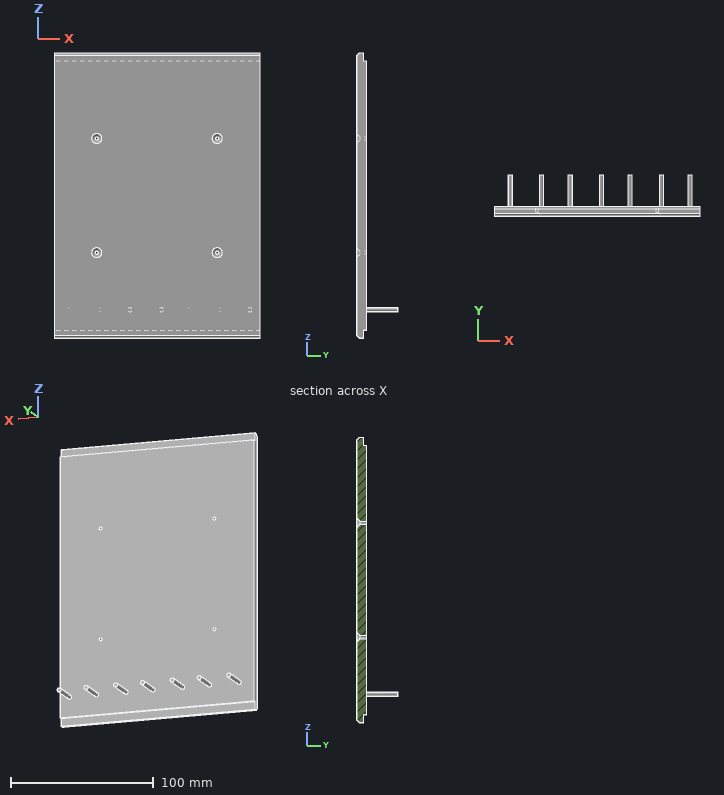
import cadquery as cq

width = 144.0
height = 200.0
thickness = 7.0
front_chamfer = 2.0
rebate_depth = 2.0
rebate_height = 5.5

hole_spacing_x = 84.5
hole_offset_x = -0.2
hole_spacing_z = 80.0
hole_diameter = 2.0
countersink_diameter = 7.0
countersink_angle = 90.0

pin_diameter = 3.0
pin_length = 22.0
pin_count = 7
first_pin_x = -61.0
pin_row_z = -80.0
wide_gap = 22.0
narrow_gap = 20.0


def make_plate():
    """Plate with chamfered front edges and rebated back edges at top and bottom."""
    plate = cq.Workplane("XY").box(width, thickness, height).translate((0, thickness / 2, 0))
    plate = plate.faces("<Y").edges("|X").chamfer(front_chamfer)
    rebate = cq.Workplane("XY").box(width, rebate_depth, rebate_height)
    for side in (-1, 1):
        rebate_z = side * (height - rebate_height) / 2
        plate = plate.cut(rebate.translate((0, thickness - rebate_depth / 2, rebate_z)))
    return plate


def drill_holes(plate):
    """Countersink and drill the holes from the front face."""
    return (
        plate.faces("<Y")
        .workplane(origin=(hole_offset_x, 0, 0))
        .rarray(hole_spacing_x, hole_spacing_z, 2, 2)
        .cskHole(hole_diameter, countersink_diameter, countersink_angle)
    )


def pin_positions():
    """Pin centres in X and Z, alternating the wide and narrow gaps."""
    positions = []
    x = first_pin_x
    for index in range(pin_count):
        positions.append((x, pin_row_z))
        x += wide_gap if index % 2 == 0 else narrow_gap
    return positions


def make_pins():
    """Pins rooted at mid-thickness of the plate and standing out of its back face."""
    return (
        cq.Workplane("XZ", origin=(0, thickness / 2, 0))
        .pushPoints(pin_positions())
        .circle(pin_diameter / 2)
        .extrude(-(thickness / 2 + pin_length))
    )


result = drill_holes(make_plate()).union(make_pins())